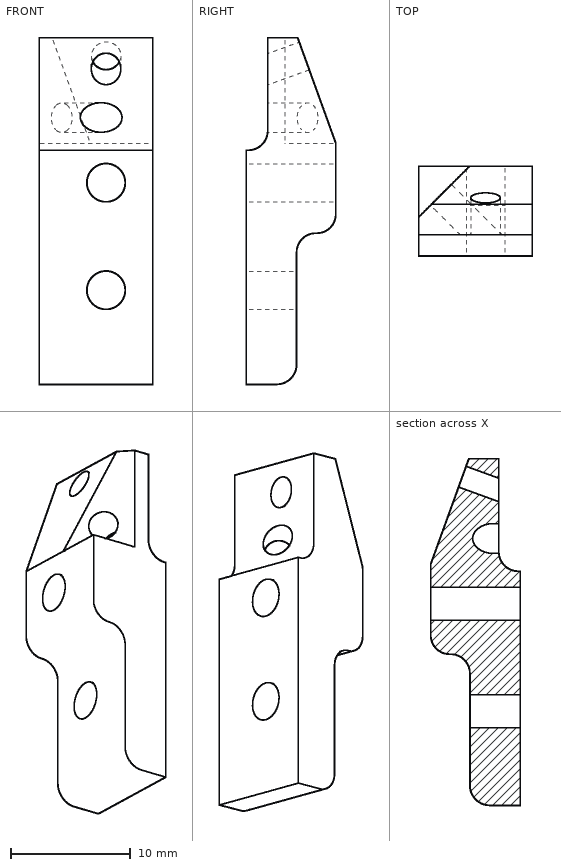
import cadquery as cq

width = 9.5
depth = 7.5
height = 29.0

lower_thickness = 4.23
overhang_z = 12.65
shoulder_z = 19.6
slope_start_z = 20.18
upper_front_y = 1.8
top_back_y = 4.32
step_radius = 1.6
bottom_radius = 1.68

corner_leg = 4.25

hole_x = 5.6
mount_diameter = 3.2
mount_heights = (7.9, 16.88)
small_diameter = 2.46
slope_hole_z = 26.4
corner_hole_z = 22.33
corner_hole_x = 5.2


def block():
    """Stepped side profile extruded across the width."""
    outline = [
        (0, 0),
        (lower_thickness, 0),
        (lower_thickness, overhang_z),
        (depth, overhang_z),
        (depth, slope_start_z),
        (top_back_y, height),
        (upper_front_y, height),
        (upper_front_y, shoulder_z),
        (0, shoulder_z),
    ]
    body = cq.Workplane("YZ").polyline(outline).close().extrude(width)
    rounded_edges = (
        (lower_thickness, 0, bottom_radius),
        (lower_thickness, overhang_z, step_radius),
        (depth, overhang_z, step_radius),
        (upper_front_y, shoulder_z, step_radius),
    )
    for y, z, radius in rounded_edges:
        edge = cq.selectors.NearestToPointSelector((width / 2, y, z))
        body = body.edges("|X").edges(edge).fillet(radius)
    return body


def corner_cut():
    """Triangular prism that removes the upper back corner."""
    return (
        cq.Workplane("XY", origin=(0, 0, slope_start_z))
        .polyline([(0, depth), (corner_leg, depth), (0, depth - corner_leg)])
        .close()
        .extrude(height - slope_start_z)
    )


def through_hole(diameter, center, direction):
    """Cylinder along a direction, reaching past the part on both sides of the center."""
    axis = cq.Vector(*direction).normalized()
    start = cq.Vector(*center) - axis * depth
    reach = 3 * depth
    return cq.Workplane(cq.Solid.makeCylinder(diameter / 2, reach, start, axis))


result = block().cut(corner_cut())

for hole_z in mount_heights:
    result = result.cut(through_hole(mount_diameter, (hole_x, 0, hole_z), (0, 1, 0)))

slope_normal = (0, height - slope_start_z, depth - top_back_y)
result = result.cut(through_hole(small_diameter, (hole_x, upper_front_y, slope_hole_z), slope_normal))

corner_normal = (-1, 1, 0)
corner_entry = (corner_hole_x, upper_front_y, corner_hole_z)
result = result.cut(through_hole(small_diameter, corner_entry, corner_normal))